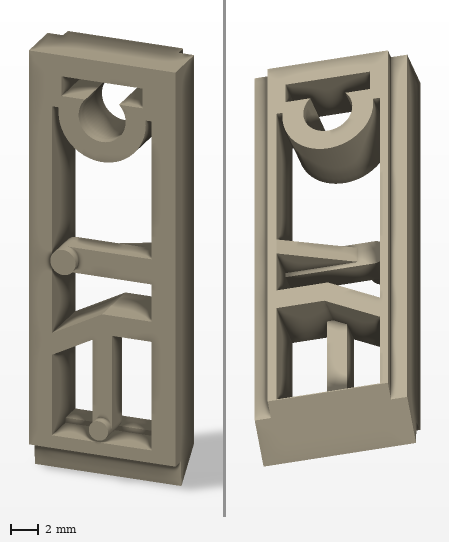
import cadquery as cq

WIDTH = 11.6
HEIGHT = 33.2
DEPTH = 4.58
CENTER_X = WIDTH / 2

STEP_HEIGHT = 2.0
STEP_DEPTH = 1.05
TIP_DEPTH = 1.2
BEVEL_HEIGHT = 3.32

REBATE_WIDTH = 1.23
REBATE_DEPTH = 0.9

WINDOW_LEFT = 1.83
WINDOW_RIGHT = 9.7
WINDOW_TOP = 29.05
WINDOW_BOTTOM = 3.0
SILL_TOP = 3.4
SILL_START = 2.65

RING_Z = 28.7
RING_RADIUS = 3.45
BORE_RADIUS = 1.85
SLOT_WIDTH = 6.4
SLOT_BOTTOM = 29.98
SLOT_TOP = 31.55

RIB_TOP = 13.18
RIB_UNDERSIDE = 11.6
RIB_LEFT_TOP = 11.1
RIB_LEFT_UNDERSIDE = 9.35
RIB_UNDERSIDE_KINK_X = CENTER_X + 0.25

ARM_DEPTH = 2.0
PIN_LENGTH = 0.73
ARM_RADIUS = 1.0
ARM_PIN_X = 3.0
ARM_Z = 17.13
STEM_RADIUS = 0.75
STEM_X = CENTER_X
STEM_PIN_Z = 4.2

GUSSET_LENGTH = 5.5
GUSSET_HEIGHT = 1.25


def box(x_range, y_range, z_range):
    """Axis-aligned block between the given limits."""
    size = [high - low for low, high in (x_range, y_range, z_range)]
    corner = (x_range[0], y_range[0], z_range[0])
    return cq.Workplane("XY").box(*size, centered=False).translate(corner)


def cylinder(x, z, radius, y_start, y_end):
    """Round bar along Y."""
    plane = cq.Workplane("XZ", origin=(x, y_start, z))
    return plane.circle(radius).extrude(y_start - y_end)


def frame_body():
    """Solid block with the wedge-shaped bottom and rebated rear edges."""
    side_profile = [
        (0, HEIGHT),
        (0, STEP_HEIGHT),
        (STEP_DEPTH, STEP_HEIGHT),
        (TIP_DEPTH, 0),
        (DEPTH, BEVEL_HEIGHT),
        (DEPTH, HEIGHT),
    ]
    body = cq.Workplane("YZ").polyline(side_profile).close().extrude(WIDTH)
    for left in (0, WIDTH - REBATE_WIDTH):
        body = body.cut(box((left, left + REBATE_WIDTH), (DEPTH - REBATE_DEPTH, DEPTH), (0, HEIGHT)))
    return body


def window():
    """Through opening with a raised sill at the rear."""
    width = (WINDOW_LEFT, WINDOW_RIGHT)
    front = box(width, (0, SILL_START), (WINDOW_BOTTOM, WINDOW_TOP))
    rear = box(width, (SILL_START, DEPTH), (SILL_TOP, WINDOW_TOP))
    return front.union(rear)


def t_slot():
    """Bore opening upward into a wide slot."""
    half_width = SLOT_WIDTH / 2
    slot = box((CENTER_X - half_width, CENTER_X + half_width), (0, DEPTH), (SLOT_BOTTOM, SLOT_TOP))
    return slot.union(cylinder(CENTER_X, RING_Z, BORE_RADIUS, 0, DEPTH))


def cross_rib():
    """Full-depth rib, sloping on the left and level on the right."""
    outline = [
        (WINDOW_LEFT, RIB_LEFT_TOP),
        (CENTER_X, RIB_TOP),
        (WINDOW_RIGHT, RIB_TOP),
        (WINDOW_RIGHT, RIB_UNDERSIDE),
        (RIB_UNDERSIDE_KINK_X, RIB_UNDERSIDE),
        (WINDOW_LEFT, RIB_LEFT_UNDERSIDE),
    ]
    return cq.Workplane("XZ").polyline(outline).close().extrude(-DEPTH)


def upper_arm():
    """Horizontal arm with a pin at its free end and a gusset behind it."""
    bar = box((ARM_PIN_X, WINDOW_RIGHT), (0, ARM_DEPTH), (ARM_Z - ARM_RADIUS, ARM_Z + ARM_RADIUS))
    pin = cylinder(ARM_PIN_X, ARM_Z, ARM_RADIUS, -PIN_LENGTH, ARM_DEPTH)
    gusset_outline = [
        (WINDOW_RIGHT, ARM_DEPTH),
        (WINDOW_RIGHT, DEPTH),
        (WINDOW_RIGHT - GUSSET_LENGTH, ARM_DEPTH),
    ]
    gusset_plane = cq.Workplane("XY", origin=(0, 0, ARM_Z - GUSSET_HEIGHT / 2))
    gusset = gusset_plane.polyline(gusset_outline).close().extrude(GUSSET_HEIGHT)
    return bar.union(pin).union(gusset)


def lower_stem():
    """Vertical arm hanging from the cross rib with a pin at its free end."""
    bar = box((STEM_X - STEM_RADIUS, STEM_X + STEM_RADIUS), (0, ARM_DEPTH), (STEM_PIN_Z, RIB_UNDERSIDE))
    pin = cylinder(STEM_X, STEM_PIN_Z, STEM_RADIUS, -PIN_LENGTH, ARM_DEPTH)
    return bar.union(pin)


ring = cylinder(CENTER_X, RING_Z, RING_RADIUS, 0, DEPTH)
result = frame_body().cut(window()).union(ring).cut(t_slot())
for member in (cross_rib(), upper_arm(), lower_stem()):
    result = result.union(member)